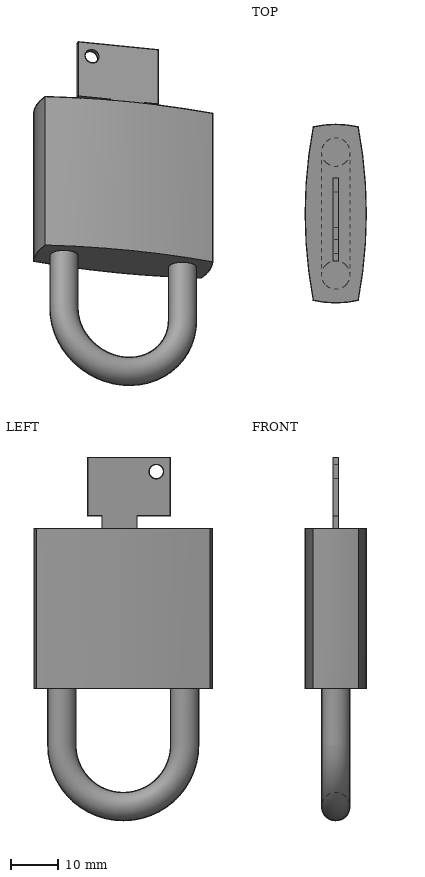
import cadquery as cq

TOTAL_HEIGHT = 76.95
BODY_THICKNESS = 13.0
BODY_WIDTH = 37.9
CORNER_THICKNESS = 9.55
CORNER_WIDTH = 36.8

BAR_DIAMETER = 6.0
BEND_RADIUS = 13.0
LEG_LENGTH = 12.0

KEY_HEIGHT = 15.0
KEY_THICKNESS = 1.2
HEAD_Y_MIN = -10.0
HEAD_Y_MAX = 7.55
NECK_Y_MIN = -2.9
NECK_Y_MAX = 4.55
NECK_HEIGHT = 2.6
KEY_HOLE_DIAMETER = 3.0
KEY_HOLE_INSET = 3.0

body_height = TOTAL_HEIGHT - KEY_HEIGHT - LEG_LENGTH - BEND_RADIUS - BAR_DIAMETER / 2


def make_body():
    """Extrude a rectangle whose four sides bulge outward as arcs."""
    side_x = BODY_THICKNESS / 2
    end_y = BODY_WIDTH / 2
    corner_x = CORNER_THICKNESS / 2
    corner_y = CORNER_WIDTH / 2
    return (
        cq.Workplane("XY")
        .moveTo(-corner_x, -corner_y)
        .threePointArc((0, -end_y), (corner_x, -corner_y))
        .threePointArc((side_x, 0), (corner_x, corner_y))
        .threePointArc((0, end_y), (-corner_x, corner_y))
        .threePointArc((-side_x, 0), (-corner_x, -corner_y))
        .close()
        .extrude(body_height)
    )


def make_shackle():
    """Join two straight legs with a half-torus bend."""
    leg_ends = cq.Workplane("XY", origin=(0, 0, -LEG_LENGTH))
    legs = (
        leg_ends.pushPoints([(0, -BEND_RADIUS), (0, BEND_RADIUS)])
        .circle(BAR_DIAMETER / 2)
        .extrude(LEG_LENGTH)
    )
    bend = (
        leg_ends.center(0, BEND_RADIUS)
        .circle(BAR_DIAMETER / 2)
        .revolve(180, (0, -BEND_RADIUS, 0), (-1, -BEND_RADIUS, 0))
    )
    return legs.union(bend)


def key_plate(y_min, y_max, z_min, z_max):
    """Make a rectangular piece of the key, centred on X = 0."""
    return (
        cq.Workplane("XY", origin=(0, (y_min + y_max) / 2, z_min))
        .rect(KEY_THICKNESS, y_max - y_min)
        .extrude(z_max - z_min)
    )


def make_key():
    """Stack the head on the narrow neck and pierce the head near its corner."""
    head_bottom = body_height + NECK_HEIGHT
    key_top = body_height + KEY_HEIGHT
    neck = key_plate(NECK_Y_MIN, NECK_Y_MAX, body_height, head_bottom)
    head = key_plate(HEAD_Y_MIN, HEAD_Y_MAX, head_bottom, key_top)
    hole = (
        cq.Workplane("YZ")
        .center(HEAD_Y_MIN + KEY_HOLE_INSET, key_top - KEY_HOLE_INSET)
        .circle(KEY_HOLE_DIAMETER / 2)
        .extrude(KEY_THICKNESS, both=True)
    )
    return neck.union(head).cut(hole)


result = make_body().union(make_shackle()).union(make_key())